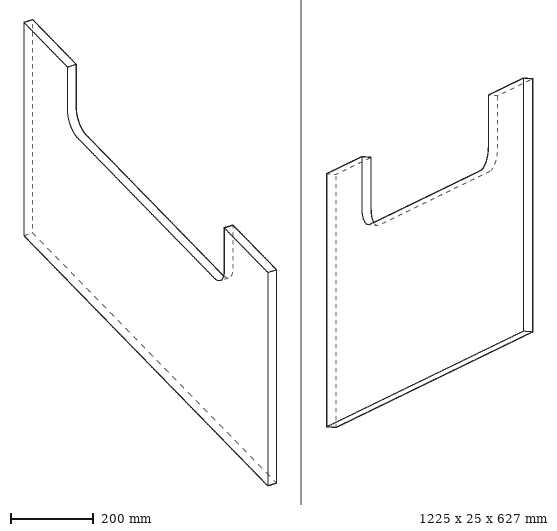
import cadquery as cq

panel_width = 1225.0
panel_thickness = 25.0
panel_height = 627.0

notch_width = 786.0
notch_depth = 178.0
notch_corner_radius = 50.0


def make_panel():
    """Upright flat panel centred on the origin."""
    return cq.Workplane("XY").box(panel_width, panel_thickness, panel_height)


def make_notch():
    """Cutting block that reaches down from the top edge of the panel."""
    block = cq.Workplane("XY").box(notch_width, panel_thickness, notch_depth)
    rounded_block = block.edges("|Y and <Z").fillet(notch_corner_radius)
    return rounded_block.translate((0, 0, (panel_height - notch_depth) / 2))


result = make_panel().cut(make_notch())